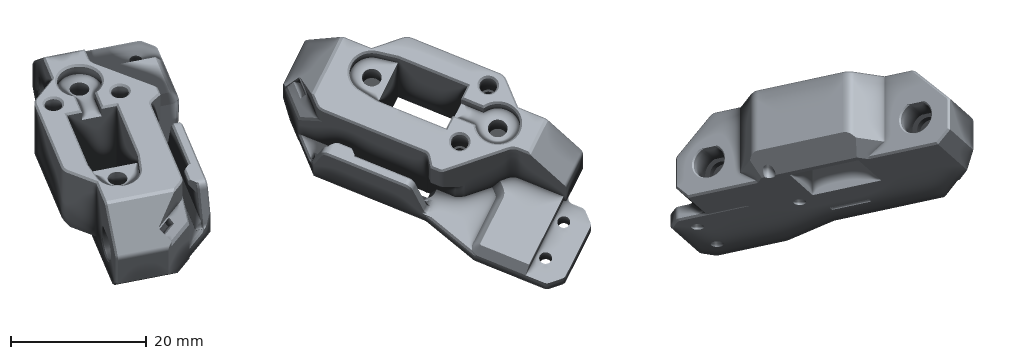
import cadquery as cq
import math

TOUCH = 0.05

LENGTH = 50
HEIGHT = 13
EDGE_BREAK = 0.3

ARM_LEFT = 5
ARM_FRONT = 4
ARM_BACK = 10.45
BODY_BACK = 16.5
BUMP_BACK = 18.45
BUMP_LEFT = 21.5
BUMP_RIGHT = 23.25
BUMP_FOOT = 24.65
BUMP_RADIUS = 1
INNER_RADIUS = 2
NOSE_HALF = 7.85
NOSE_RADIUS = 2
BODY_MID = (ARM_LEFT + LENGTH) / 2
SHOULDER_Z = 7.05
SHOULDER_RADIUS = 1
FOOT_CHAMFER = 2
BLEND_RADIUS = 1
NOSE_FRONT_SLOPE = 3
NOSE_SIDE_SLOPE = 2.15
CORNER_SUM = 62

LEDGE_WIDTH = 2.25
LEDGE_LOW_Z = 7.1
LEDGE_END = 0.7
LEDGE_RADIUS = 2
LEDGE_SLOT_INSET = 1.25
LEDGE_SLOT_WIDTH = 0.85
LEDGE_SLOT_LENGTH = 2.95
LEDGE_SLOT_DEPTH = 1

AXIS_Y = 7.75
WINDOW_LEFT = 23.85
WINDOW_RIGHT = 35.1
WINDOW_HALF = 3.8
RECESS_DEPTH = 1.75
RECESS_RADIUS = 3.3
LEFT_PIN_X = 17.25
RIGHT_PIN_X = 37.6
NECK_HALF = 1.5
PIN_DIAMETER = 2.9
PIN_DEPTH = 3

SCREW_X = 21.1
SCREW_OFFSET = 5.1
SCREW_DIAMETER = 1.9
INSERT_DIAMETER = 2.6
INSERT_DEPTH = 4

ARM_HOLE_X = (10.45, 44.45)
ARM_HOLE_Z = 5.1
ARM_HOLE_DIAMETER = 5
ARM_HOLE_DEPTH = 4
ARM_HOLE_FLAT = 2.3
ARM_HOLE_LEAD = 0.2
ARM_TIP_DIAMETER = 3.4
ARM_TIP_DEPTH = 1

PLATE_Z = 2.25
PLATE_BACK = 24
PLATE_CORNER = 2
PLATE_CORNER_RADIUS = 1
PLATE_BACK_RIGHT = 13.75
PLATE_HOLE_X = 3.9
PLATE_HOLES_Y = (13.7, 20.2)
PLATE_HOLE_DIAMETER = 1.9

STEP_Z = 3.5
STEP_LEFT = 5.4
STEP_RIGHT = 14.65
STEP_TURN_Y = 14
STEP_TURN_REACH = 4
STEP_RADIUS = 1.5
STEP_TURN_RADIUS = 1

FIN_BACK = 21
FIN_FRONT = 19.4
FIN_Z = 9
FIN_LEFT = 22.9
FIN_RIGHT = 42.2
FIN_ROUND = 1.35
FIN_FLARE = 0.3
FIN_FLARE_RADIUS = 0.75
FIN_OVERLAP = 1.5
FIN_LEAN = 2.25
FIN_FOOT = 1.05
HOOK_TIP = 18.4
HOOK_LEFT = 35.1
HOOK_RIGHT = 39.2
HOOK_LIP = 1.1

CHANNEL_Z = 6
MOUTH_WIDTH = 0.6
SLOT_LEFT = 24.25
SLOT_RIGHT = 30.65
SLOT_BACK = 17.3
SLOT_FLARE = 1.05


def prism(points, height, base=0):
    return cq.Workplane("XY").workplane(offset=base).polyline(points).close().extrude(height)


def side_prism(points, near, far):
    """Extrude an (X, Z) outline from Y = near to Y = far."""
    return cq.Workplane("XZ").workplane(offset=-far).polyline(points).close().extrude(far - near)


def end_prism(points, left, right):
    """Extrude a (Y, Z) outline from X = left to X = right."""
    return cq.Workplane("YZ").workplane(offset=left).polyline(points).close().extrude(right - left)


def box_around(center, reach):
    """Select what has its centre within the given reach of a point along X, Y and Z."""
    low = tuple(c - r for c, r in zip(center, reach))
    high = tuple(c + r for c, r in zip(center, reach))
    return cq.selectors.BoxSelector(low, high)


def upright_at(x, y):
    """Select the vertical edge that stands at (x, y)."""
    return box_around((x, y, HEIGHT / 2), (TOUCH, TOUCH, HEIGHT))


def make_body():
    plan = prism(
        [
            (ARM_LEFT, ARM_FRONT),
            (BODY_MID - NOSE_HALF - ARM_FRONT, ARM_FRONT),
            (BODY_MID - NOSE_HALF, 0),
            (BODY_MID + NOSE_HALF, 0),
            (BODY_MID + NOSE_HALF + ARM_FRONT, ARM_FRONT),
            (LENGTH, ARM_FRONT),
            (LENGTH, CORNER_SUM - LENGTH),
            (CORNER_SUM - BODY_BACK, BODY_BACK),
            (BUMP_FOOT, BODY_BACK),
            (BUMP_RIGHT, BUMP_BACK),
            (BUMP_LEFT, BUMP_BACK),
            (BUMP_LEFT - (BUMP_BACK - ARM_BACK), ARM_BACK),
            (ARM_LEFT, ARM_BACK),
        ],
        HEIGHT,
    )
    plan = plan.edges("|Z and <Y").fillet(NOSE_RADIUS)
    plan = plan.edges(upright_at(BUMP_LEFT - (BUMP_BACK - ARM_BACK), ARM_BACK)).fillet(INNER_RADIUS)
    plan = plan.edges(upright_at(BUMP_FOOT, BODY_BACK)).fillet(BUMP_RADIUS)
    plan = plan.edges(upright_at(BUMP_LEFT, BUMP_BACK)).fillet(BUMP_RADIUS)
    shoulder = HEIGHT - SHOULDER_Z
    profile = side_prism(
        [
            (ARM_LEFT + FOOT_CHAMFER, 0),
            (LENGTH - FOOT_CHAMFER, 0),
            (LENGTH, FOOT_CHAMFER),
            (LENGTH, SHOULDER_Z),
            (LENGTH - shoulder, HEIGHT),
            (ARM_LEFT + shoulder, HEIGHT),
            (ARM_LEFT, SHOULDER_Z),
            (ARM_LEFT, FOOT_CHAMFER),
        ],
        0,
        PLATE_BACK,
    )
    shoulders = box_around((BODY_MID, PLATE_BACK / 2, SHOULDER_Z), (LENGTH, PLATE_BACK, TOUCH))
    profile = profile.edges("|Y").edges(shoulders).fillet(SHOULDER_RADIUS)
    body = plan.intersect(profile)

    body = body.cut(corner_ledge())
    ledge_wall = CORNER_SUM - LEDGE_WIDTH * math.sqrt(2)
    body = body.edges(upright_at(ledge_wall - BODY_BACK, BODY_BACK)).fillet(LEDGE_RADIUS)
    ledge_rim = box_around(
        (CORNER_SUM - BODY_BACK - LEDGE_WIDTH / 2, BODY_BACK, LEDGE_LOW_Z + LEDGE_WIDTH / 2),
        (LEDGE_WIDTH / 2, TOUCH, LEDGE_WIDTH / 4),
    )
    body = body.edges(ledge_rim).chamfer(EDGE_BREAK)

    arm_fronts = body.faces(box_around((BODY_MID, ARM_FRONT, HEIGHT / 2), (LENGTH, TOUCH, HEIGHT)))
    rims = body.faces(">Z").edges().add(arm_fronts.edges("not |Z"))
    for arm_end in (ARM_LEFT, LENGTH):
        rims = rims.add(body.edges("|Z").edges(upright_at(arm_end, ARM_FRONT)))
    return rims.chamfer(EDGE_BREAK)


def corner_ledge():
    """Material removed above the sloping ledge, with a slot along the foot of its wall."""
    end_x = LENGTH - LEDGE_END
    diagonal = cq.Plane((end_x, CORNER_SUM - end_x, LEDGE_LOW_Z), (1, 1, 0), (1, -1, 0))
    space = (
        cq.Workplane(diagonal)
        .polyline(
            [
                (0, -EDGE_BREAK),
                (-EDGE_BREAK, EDGE_BREAK),
                (-LEDGE_WIDTH, LEDGE_WIDTH),
                (-LEDGE_WIDTH, HEIGHT),
                (LEDGE_WIDTH, HEIGHT),
                (LEDGE_WIDTH, -EDGE_BREAK),
            ]
        )
        .close()
        .extrude(-LENGTH)
    )
    near = LEDGE_SLOT_INSET
    far = LEDGE_SLOT_INSET + LEDGE_SLOT_WIDTH
    slot = (
        cq.Workplane(diagonal)
        .polyline(
            [
                (-near, near),
                (-far, far),
                (-far - LEDGE_SLOT_DEPTH, far - LEDGE_SLOT_DEPTH),
                (-near - LEDGE_SLOT_DEPTH, near - LEDGE_SLOT_DEPTH),
            ]
        )
        .close()
        .extrude(-LEDGE_SLOT_LENGTH)
    )
    return space.union(slot)


def nose_slopes():
    """Material removed under the front nose: one slope in front and one on each side."""
    slope = end_prism([(0, 0), (NOSE_FRONT_SLOPE, 0), (0, NOSE_FRONT_SLOPE)], ARM_LEFT, LENGTH)
    for side in (-1, 1):
        wedge = (
            cq.Workplane(cq.Plane((BODY_MID + side * NOSE_HALF, 0, 0), (side, -1, 0), (-1, -side, 0)))
            .polyline([(0, 0), (0, NOSE_SIDE_SLOPE), (-NOSE_SIDE_SLOPE, 0)])
            .close()
            .extrude(BODY_BACK, both=True)
        )
        slope = slope.union(wedge)
    limit = end_prism(
        [(0, 0), (ARM_FRONT + EDGE_BREAK, 0), (ARM_FRONT, EDGE_BREAK), (ARM_FRONT, HEIGHT), (0, HEIGHT)],
        0,
        LENGTH,
    )
    return slope.intersect(limit)


def channel():
    """Cable passage through the foot of the rear bump, with a 45 degree roof."""
    roof = CHANNEL_Z + BUMP_BACK - BODY_BACK
    outline = [(BODY_BACK, 0), (PLATE_BACK, 0), (PLATE_BACK, roof), (BUMP_BACK, roof), (BODY_BACK, CHANNEL_Z)]
    mouth_x = BUMP_LEFT - (BUMP_BACK - BODY_BACK)
    mouth = prism(
        [
            (mouth_x - MOUTH_WIDTH, BODY_BACK - MOUTH_WIDTH),
            (mouth_x + MOUTH_WIDTH, BODY_BACK),
            (mouth_x - MOUTH_WIDTH, BODY_BACK),
        ],
        CHANNEL_Z,
    )
    return end_prism(outline, mouth_x, BUMP_FOOT).union(mouth)


def foot_blend():
    """Concave fillet between the front side of the plate and the chamfered foot of the left arm."""
    size = 2 * FOOT_CHAMFER
    plate_side = cq.Workplane("XY").box(2 * size, BLEND_RADIUS, 2 * size).translate(
        (ARM_LEFT, ARM_BACK + BLEND_RADIUS / 2, 0)
    )
    arm_foot = side_prism(
        [
            (ARM_LEFT, size),
            (ARM_LEFT, FOOT_CHAMFER),
            (ARM_LEFT + FOOT_CHAMFER + size, -size),
            (ARM_LEFT + 2 * size, -size),
            (ARM_LEFT + 2 * size, size),
        ],
        ARM_BACK - size,
        ARM_BACK,
    )
    corner = plate_side.union(arm_foot)
    slanted_seam = (ARM_LEFT + (FOOT_CHAMFER + size) / 2, ARM_BACK, (FOOT_CHAMFER - size) / 2)
    upright_seam = (ARM_LEFT, ARM_BACK, (FOOT_CHAMFER + size) / 2)
    reach = (FOOT_CHAMFER, TOUCH, FOOT_CHAMFER / 2)
    seam = cq.selectors.SumSelector(box_around(slanted_seam, reach), box_around(upright_seam, reach))
    corner = corner.edges(seam).fillet(BLEND_RADIUS)
    limit = cq.Workplane("XY").box(size, 2 * BLEND_RADIUS, PLATE_Z - EDGE_BREAK, centered=(True, True, False))
    return corner.intersect(limit.translate((ARM_LEFT, ARM_BACK, EDGE_BREAK)))


def make_plate():
    outline = [
        (0, ARM_BACK + PLATE_CORNER),
        (0, PLATE_BACK - PLATE_CORNER),
        (PLATE_CORNER, PLATE_BACK),
        (PLATE_BACK_RIGHT, PLATE_BACK),
        (FIN_LEFT, FIN_BACK),
        (CORNER_SUM - FIN_BACK, FIN_BACK),
        (CORNER_SUM - BODY_BACK, BODY_BACK),
        (CORNER_SUM - BODY_BACK, ARM_BACK),
        (PLATE_CORNER, ARM_BACK),
    ]
    plate = prism(outline, PLATE_Z)
    for y, inward in ((ARM_BACK, 1), (PLATE_BACK, -1)):
        for corner in ((0, y + inward * PLATE_CORNER), (PLATE_CORNER, y)):
            plate = plate.edges(upright_at(*corner)).fillet(PLATE_CORNER_RADIUS)
    plate = plate.faces("<Z").edges().chamfer(EDGE_BREAK)
    back_middle = (PLATE_BACK_RIGHT + FIN_LEFT) / 2, (PLATE_BACK + FIN_BACK) / 2
    corner_middle = CORNER_SUM - (FIN_BACK + BODY_BACK) / 2, (FIN_BACK + BODY_BACK) / 2
    for middle in (back_middle, corner_middle):
        slanted = box_around((*middle, PLATE_Z), (0.5, 0.5, TOUCH))
        plate = plate.edges(slanted).chamfer(EDGE_BREAK)

    slot = (
        cq.Workplane("XY")
        .center((SLOT_LEFT + SLOT_RIGHT) / 2, (BODY_BACK + SLOT_BACK) / 2)
        .rect(SLOT_RIGHT - SLOT_LEFT, SLOT_BACK - BODY_BACK)
        .extrude(PLATE_Z, taper=-math.degrees(math.atan(SLOT_FLARE / PLATE_Z)))
    )
    plate = plate.cut(slot)
    return plate.union(make_step().intersect(prism(outline, STEP_Z)))


def make_step():
    turn_end = (STEP_RIGHT + STEP_TURN_REACH, STEP_TURN_Y - STEP_TURN_REACH)
    rise = STEP_Z - PLATE_Z
    step = prism(
        [
            (0, PLATE_BACK),
            (STEP_RIGHT, PLATE_BACK),
            (STEP_RIGHT, STEP_TURN_Y),
            turn_end,
            (turn_end[0], ARM_FRONT),
            (0, ARM_FRONT),
        ],
        STEP_Z - EDGE_BREAK,
        EDGE_BREAK,
    )
    step = step.edges(upright_at(STEP_RIGHT, PLATE_BACK)).fillet(STEP_RADIUS)
    step = step.edges(upright_at(STEP_RIGHT, STEP_TURN_Y)).fillet(STEP_TURN_RADIUS)
    step = step.faces(">Z").edges().chamfer(rise)
    keep = cq.Workplane("XY").box(LENGTH, PLATE_BACK, HEIGHT, centered=False)
    return step.intersect(keep.translate((STEP_LEFT, ARM_BACK, 0)))


def make_fin():
    foot_left = FIN_LEFT + FIN_FLARE
    foot_right = FIN_RIGHT - FIN_FLARE
    outline = [
        (FIN_LEFT - FIN_OVERLAP, EDGE_BREAK),
        (FIN_LEFT - FIN_OVERLAP, PLATE_Z),
        (foot_left, PLATE_Z),
        (foot_left + FIN_LEAN, FIN_Z),
        (foot_right - FIN_LEAN, FIN_Z),
        (foot_right, PLATE_Z),
        (FIN_RIGHT + FIN_OVERLAP, PLATE_Z),
        (FIN_RIGHT + FIN_OVERLAP, EDGE_BREAK),
    ]

    def profile(front):
        slab = side_prism(outline, front, FIN_BACK)
        slab = slab.edges("|Y and >Z").fillet(FIN_ROUND)
        for x in (foot_left, foot_right):
            root = box_around((x, FIN_FRONT, PLATE_Z), (TOUCH, PLATE_BACK, TOUCH))
            slab = slab.edges("|Y").edges(root).fillet(FIN_FLARE_RADIUS)
        return slab

    wall = profile(FIN_FRONT).faces("<Y or >Y").edges().chamfer(EDGE_BREAK)
    foot = end_prism(
        [
            (FIN_FRONT, 0),
            (FIN_FRONT, PLATE_Z + FIN_FOOT),
            (FIN_FRONT - FIN_FOOT, PLATE_Z),
            (FIN_FRONT - FIN_FOOT, 0),
        ],
        FIN_LEFT,
        FIN_RIGHT,
    )
    reach = FIN_FRONT - HOOK_TIP
    hook_plan = [
        (HOOK_LEFT, FIN_BACK),
        (HOOK_LEFT, FIN_FRONT),
        (HOOK_LEFT + reach, HOOK_TIP),
        (HOOK_RIGHT - reach, HOOK_TIP),
        (HOOK_RIGHT, FIN_FRONT),
        (HOOK_RIGHT, FIN_BACK),
    ]
    hook_section = [
        (FIN_BACK - EDGE_BREAK, FIN_Z),
        (HOOK_TIP + EDGE_BREAK, FIN_Z),
        (HOOK_TIP, FIN_Z - EDGE_BREAK),
        (HOOK_TIP, FIN_Z - HOOK_LIP),
        (FIN_FRONT, FIN_Z - HOOK_LIP - reach),
        (FIN_BACK - EDGE_BREAK, FIN_Z - HOOK_LIP - reach),
    ]
    hook = prism(hook_plan, FIN_Z).intersect(end_prism(hook_section, FIN_LEFT, FIN_RIGHT))
    limit = prism([(0, 0), (CORNER_SUM, 0), (0, CORNER_SUM)], HEIGHT)
    return wall.union(profile(HOOK_TIP).intersect(foot.union(hook))).intersect(limit)


def top_recess():
    """Shallow recess around the window that reaches out to both pin holes."""
    floor = HEIGHT - RECESS_DEPTH
    span = RIGHT_PIN_X - WINDOW_RIGHT
    to_center = math.hypot(span, WINDOW_HALF)
    tangent = math.atan2(WINDOW_HALF, -span) - math.acos(RECESS_RADIUS / to_center)
    touch_x = RIGHT_PIN_X + RECESS_RADIUS * math.cos(tangent)
    touch_y = RECESS_RADIUS * math.sin(tangent)
    neck_x = LEFT_PIN_X + math.sqrt(RECESS_RADIUS**2 - NECK_HALF**2)
    return (
        cq.Workplane("XY")
        .workplane(offset=floor)
        .moveTo(neck_x, AXIS_Y + NECK_HALF)
        .threePointArc((LEFT_PIN_X - RECESS_RADIUS, AXIS_Y), (neck_x, AXIS_Y - NECK_HALF))
        .lineTo(WINDOW_LEFT, AXIS_Y - NECK_HALF)
        .lineTo(WINDOW_LEFT, AXIS_Y - WINDOW_HALF)
        .lineTo(WINDOW_RIGHT, AXIS_Y - WINDOW_HALF)
        .lineTo(touch_x, AXIS_Y - touch_y)
        .threePointArc((RIGHT_PIN_X + RECESS_RADIUS, AXIS_Y), (touch_x, AXIS_Y + touch_y))
        .lineTo(WINDOW_RIGHT, AXIS_Y + WINDOW_HALF)
        .lineTo(WINDOW_LEFT, AXIS_Y + WINDOW_HALF)
        .lineTo(WINDOW_LEFT, AXIS_Y + NECK_HALF)
        .close()
        .extrude(RECESS_DEPTH)
    )


def round_cut(x, y, diameter, top, depth):
    return cq.Workplane("XY").workplane(offset=top - depth).center(x, y).circle(diameter / 2).extrude(depth)


def window():
    width = WINDOW_RIGHT - WINDOW_LEFT
    opening = cq.Workplane("XY").box(width, 2 * WINDOW_HALF, HEIGHT, centered=False)
    return opening.translate((WINDOW_LEFT, AXIS_Y - WINDOW_HALF, 0))


def screw_hole(y):
    lead = INSERT_DIAMETER / 2 + EDGE_BREAK
    cone = cq.Workplane(cq.Solid.makeCone(INSERT_DIAMETER / 2, lead, EDGE_BREAK)).translate(
        (SCREW_X, y, HEIGHT - EDGE_BREAK)
    )
    hole = round_cut(SCREW_X, y, SCREW_DIAMETER, HEIGHT, HEIGHT)
    return hole.union(round_cut(SCREW_X, y, INSERT_DIAMETER, HEIGHT, INSERT_DEPTH)).union(cone)


def arm_hole(x):
    """Flat-topped blind hole running back from an arm front, with a narrower end."""

    def bore(radius, start, depth):
        return cq.Workplane("XZ", origin=(x, start, ARM_HOLE_Z)).circle(radius).extrude(-depth)

    radius = ARM_HOLE_DIAMETER / 2
    lead = cq.Workplane(
        cq.Solid.makeCone(
            radius + ARM_HOLE_LEAD,
            radius,
            ARM_HOLE_LEAD,
            pnt=cq.Vector(x, ARM_FRONT, ARM_HOLE_Z),
            dir=cq.Vector(0, 1, 0),
        )
    )
    wide = bore(radius, ARM_FRONT, ARM_HOLE_DEPTH).union(lead)
    below_flat = cq.Workplane("XY").box(LENGTH, BODY_BACK, ARM_HOLE_Z + ARM_HOLE_FLAT, centered=False)
    below_flat = below_flat.translate((x - LENGTH / 2, 0, 0))
    tip = bore(ARM_TIP_DIAMETER / 2, ARM_FRONT, ARM_HOLE_DEPTH + ARM_TIP_DEPTH)
    return wide.intersect(below_flat).union(tip)


body = make_body().cut(nose_slopes()).cut(channel())
result = body.union(make_plate()).union(make_fin())
result = result.union(foot_blend())

result = result.cut(top_recess())
recess_rim = cq.selectors.BoxSelector(
    (LEFT_PIN_X - RECESS_RADIUS - TOUCH, AXIS_Y - WINDOW_HALF - TOUCH, HEIGHT - TOUCH),
    (RIGHT_PIN_X + RECESS_RADIUS + TOUCH, AXIS_Y + WINDOW_HALF + TOUCH, HEIGHT + TOUCH),
    boundingbox=True,
)
result = result.edges(recess_rim).chamfer(EDGE_BREAK)
result = result.cut(window())

for x in (LEFT_PIN_X, RIGHT_PIN_X):
    result = result.cut(round_cut(x, AXIS_Y, PIN_DIAMETER, HEIGHT, RECESS_DEPTH + PIN_DEPTH))
for side in (-1, 1):
    result = result.cut(screw_hole(AXIS_Y + side * SCREW_OFFSET))
for y in PLATE_HOLES_Y:
    result = result.cut(round_cut(PLATE_HOLE_X, y, PLATE_HOLE_DIAMETER, PLATE_Z, PLATE_Z))
for x in ARM_HOLE_X:
    result = result.cut(arm_hole(x))